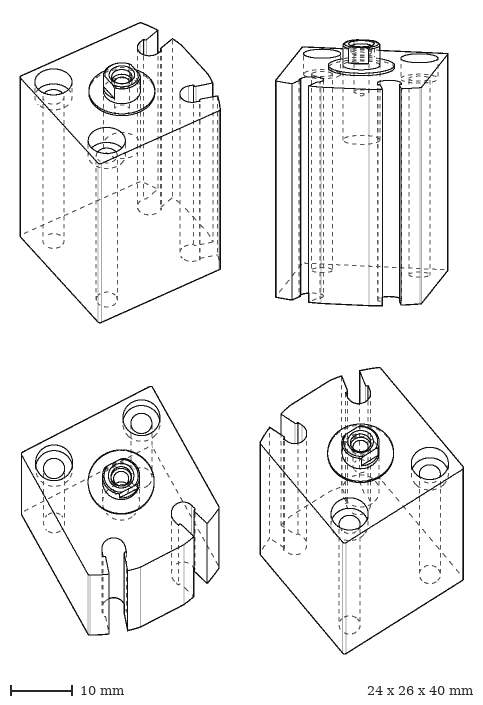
import cadquery as cq
import math

HALF_WIDTH = 12.0
FRONT_Y = -12.0
BACK_Y = 14.0
BLOCK_HEIGHT = 36.0
EDGE_RADIUS = 0.4

CROWN_RADIUS = 24.8
CROWN_CENTER_Y = -10.5

COLLAR_DIAMETER = 10.7
COLLAR_HEIGHT = 0.4

MOUNT_OFFSET = 8.0
MOUNT_DIAMETER = 3.4
COUNTERBORE_DIAMETER = 6.0
COUNTERBORE_DEPTH = 3.4

SLOT_TILT = 17.0
SLOT_CENTER_X = 6.35
SLOT_CENTER_Y = 9.3
SLOT_HEAD_RADIUS = 1.9
SLOT_SHOULDER = 0.85
SLOT_NECK_HALF_WIDTH = 1.5
SLOT_LENGTH = 8.0
NECK_EDGE_RADIUS = 0.3

ROD_DIAMETER = 6.0
ROD_TOP = 40.0
ROD_BOTTOM = 24.0
ROD_CHAMFER = 0.25
FLAT_SPACING = 5.0
FLAT_HEIGHT = 2.65

MOUTH_DIAMETER = 4.1
BORE_DIAMETER = 3.3
BORE_DEPTH = 1.5
LEDGE_DROP = 0.25
CORE_DIAMETER = 2.45
CORE_DEPTH = 8.0
DRILL_POINT_ANGLE = 118.0


def crown_y(x):
    """Y of the crown arc at a given X."""
    return CROWN_CENTER_Y + math.sqrt(CROWN_RADIUS**2 - x**2)


def make_block():
    flat_half = math.sqrt(CROWN_RADIUS**2 - (BACK_Y - CROWN_CENTER_Y) ** 2)
    side_y = crown_y(HALF_WIDTH)
    arc_mid_x = (flat_half + HALF_WIDTH) / 2
    arc_mid_y = crown_y(arc_mid_x)
    block = (
        cq.Workplane("XY")
        .moveTo(-HALF_WIDTH, FRONT_Y)
        .lineTo(HALF_WIDTH, FRONT_Y)
        .lineTo(HALF_WIDTH, side_y)
        .threePointArc((arc_mid_x, arc_mid_y), (flat_half, BACK_Y))
        .lineTo(-flat_half, BACK_Y)
        .threePointArc((-arc_mid_x, arc_mid_y), (-HALF_WIDTH, side_y))
        .close()
        .extrude(BLOCK_HEIGHT)
    )
    side_corners = block.edges("|Z and (<X or >X)")
    return side_corners.fillet(EDGE_RADIUS)


def make_slot(side):
    """Full-height slot cutter on the +X (side = 1) or -X (side = -1) half."""
    r = SLOT_HEAD_RADIUS
    neck = SLOT_NECK_HALF_WIDTH
    cutter = (
        cq.Workplane("XY")
        .moveTo(-r, 0)
        .threePointArc((0, -r), (r, 0))
        .lineTo(r, SLOT_SHOULDER)
        .lineTo(neck, SLOT_SHOULDER)
        .lineTo(neck, SLOT_LENGTH)
        .lineTo(-neck, SLOT_LENGTH)
        .lineTo(-neck, SLOT_SHOULDER)
        .lineTo(-r, SLOT_SHOULDER)
        .close()
        .extrude(BLOCK_HEIGHT)
    )
    for x in (-neck, neck):
        neck_edge = cq.selectors.NearestToPointSelector((x, SLOT_SHOULDER, BLOCK_HEIGHT / 2))
        cutter = cutter.edges("|Z").edges(neck_edge).fillet(NECK_EDGE_RADIUS)
    cutter = cutter.rotate((0, 0, 0), (0, 0, 1), -side * SLOT_TILT)
    return cutter.translate((side * SLOT_CENTER_X, SLOT_CENTER_Y, 0))


def make_housing():
    housing = make_block()
    for side in (-1, 1):
        housing = housing.cut(make_slot(side))
    mount_points = [(-MOUNT_OFFSET, -MOUNT_OFFSET), (MOUNT_OFFSET, -MOUNT_OFFSET)]
    housing = (
        housing.faces(">Z")
        .workplane(origin=(0, 0, BLOCK_HEIGHT))
        .pushPoints(mount_points)
        .cboreHole(MOUNT_DIAMETER, COUNTERBORE_DIAMETER, COUNTERBORE_DEPTH)
    )
    collar = (
        cq.Workplane("XY", origin=(0, 0, BLOCK_HEIGHT))
        .circle(COLLAR_DIAMETER / 2)
        .extrude(COLLAR_HEIGHT)
    )
    rod_hole = (
        cq.Workplane("XY", origin=(0, 0, ROD_BOTTOM))
        .circle(ROD_DIAMETER / 2)
        .extrude(ROD_TOP - ROD_BOTTOM)
    )
    return housing.union(collar).cut(rod_hole)


def make_rod_bore():
    """Revolved cutter: chamfered mouth, short bore, conical ledge, core and drill point."""
    mouth_depth = (MOUTH_DIAMETER - BORE_DIAMETER) / 2
    point_depth = CORE_DIAMETER / 2 / math.tan(math.radians(DRILL_POINT_ANGLE / 2))
    return (
        cq.Workplane("XZ")
        .moveTo(0, ROD_TOP)
        .lineTo(MOUTH_DIAMETER / 2, ROD_TOP)
        .lineTo(BORE_DIAMETER / 2, ROD_TOP - mouth_depth)
        .lineTo(BORE_DIAMETER / 2, ROD_TOP - BORE_DEPTH)
        .lineTo(CORE_DIAMETER / 2, ROD_TOP - BORE_DEPTH - LEDGE_DROP)
        .lineTo(CORE_DIAMETER / 2, ROD_TOP - CORE_DEPTH)
        .lineTo(0, ROD_TOP - CORE_DEPTH - point_depth)
        .close()
        .revolve(360, (0, 0, 0), (0, 1, 0))
    )


def make_rod():
    rod = (
        cq.Workplane("XY", origin=(0, 0, ROD_BOTTOM))
        .circle(ROD_DIAMETER / 2)
        .extrude(ROD_TOP - ROD_BOTTOM)
        .faces(">Z")
        .chamfer(ROD_CHAMFER)
    )
    for side in (-1, 1):
        flat_cutter = cq.Workplane("XY").box(
            ROD_DIAMETER, ROD_DIAMETER, FLAT_HEIGHT, centered=(True, True, False)
        )
        cutter_y = side * (FLAT_SPACING + ROD_DIAMETER) / 2
        rod = rod.cut(flat_cutter.translate((0, cutter_y, ROD_TOP - FLAT_HEIGHT)))
    return rod.cut(make_rod_bore())


housing = make_housing()
rod = make_rod()
result = cq.Compound.makeCompound([housing.val(), rod.val()])